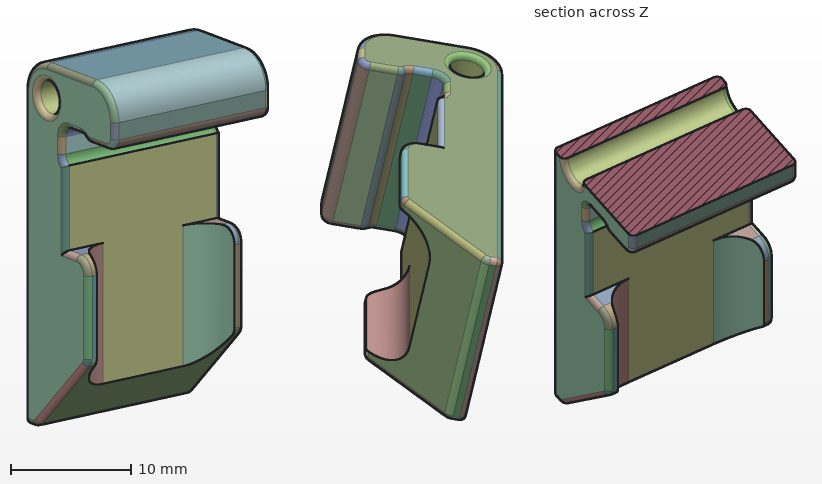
import cadquery as cq
import math

height = 32.0
depth = 16.4
hook_reach = 12.3

wall_thickness = 5.5
relief_wall = 5.0
foot_reach = 8.6
bottom_width = 1.5
notch_drop = 5.0
lip_drop = 5.5
relief_arc_drop = 7.5
ledge_drop = 15.75

top_radius = 3.0
small_radius = 1.0
ledge_radius = 1.5
edge_radius = 0.5
ceiling_length = 1.6

hole_diameter = 2.9

cheek_thickness = 1.0
recess_floor = wall_thickness
recess_corner_radius = 3.0

notch_z = height - notch_drop
lip_z = height - lip_drop
ledge_z = height - ledge_drop
slope_top_z = foot_reach - bottom_width


def arc(profile, center, radius, start, end):
    """Run a line to the start of an arc, then follow the arc; angles are in degrees."""
    def point(angle):
        a = math.radians(angle)
        return (center[0] + radius * math.cos(a), center[1] + radius * math.sin(a))
    return profile.lineTo(*point(start)).threePointArc(point((start + end) / 2), point(end))


def make_profile():
    relief_x = relief_wall + small_radius
    relief_bottom_z = height - relief_arc_drop
    ceiling_end_x = relief_x + ceiling_length
    ceiling_arc_z = notch_z - small_radius
    lip_arc_z = lip_z + small_radius
    curve_angle = math.degrees(math.asin((lip_arc_z - ceiling_arc_z) / (2 * small_radius)))
    lip_start_x = ceiling_end_x + 2 * small_radius * math.cos(math.radians(curve_angle))
    cusp_angle = 180 + math.degrees(math.acos((relief_x - wall_thickness) / small_radius))

    slope_tangent = small_radius * math.tan(math.radians(22.5))
    foot_center = (foot_reach - small_radius, slope_top_z + slope_tangent)
    bottom_center = (bottom_width - slope_tangent, small_radius)

    p = cq.Workplane("XZ", origin=(0, depth / 2, 0)).moveTo(0, edge_radius)
    p = arc(p, (top_radius, height - top_radius), top_radius, 180, 90)
    p = arc(p, (hook_reach - top_radius, height - top_radius), top_radius, 90, 0)
    p = arc(p, (hook_reach - small_radius, lip_arc_z), small_radius, 0, -90)
    p = arc(p, (lip_start_x, lip_arc_z), small_radius, 270, 180 + curve_angle)
    ceiling_mid_angle = math.radians((90 + curve_angle) / 2)
    ceiling_arc_middle = (
        ceiling_end_x + small_radius * math.cos(ceiling_mid_angle),
        ceiling_arc_z + small_radius * math.sin(ceiling_mid_angle),
    )
    p = p.threePointArc(ceiling_arc_middle, (ceiling_end_x, notch_z))
    p = arc(p, (relief_x, ceiling_arc_z), small_radius, 90, 180)
    p = arc(p, (relief_x, relief_bottom_z), small_radius, 180, cusp_angle)
    p = p.lineTo(wall_thickness, ledge_z)
    p = arc(p, (foot_reach - ledge_radius, ledge_z - ledge_radius), ledge_radius, 90, 0)
    p = arc(p, foot_center, small_radius, 0, -45)
    p = arc(p, bottom_center, small_radius, -45, -90)
    p = arc(p, (edge_radius, edge_radius), edge_radius, 270, 180)
    return p.close()


body = make_profile().extrude(depth)
hole = (
    cq.Workplane("XZ", origin=(0, depth / 2, 0))
    .center(top_radius, height - top_radius)
    .circle(hole_diameter / 2)
    .extrude(depth)
)
rounded_body = body.cut(hole).faces("<Y or >Y").edges().fillet(edge_radius)

recess_length = hook_reach - recess_floor
recess = (
    cq.Workplane("XY")
    .center(recess_floor + recess_length / 2, 0)
    .rect(recess_length, depth - 2 * cheek_thickness)
    .extrude(ledge_z)
    .edges("|Z and <X")
    .fillet(recess_corner_radius)
)
result = rounded_body.cut(recess)